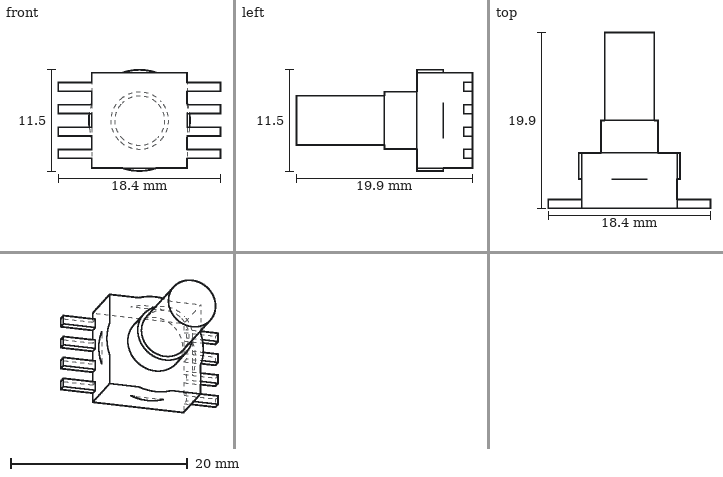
import cadquery as cq

total_length = 19.94
pin_span = 18.4
body_side = 10.8
body_depth = 6.3
flange_diameter = 11.49
flange_depth = 3.0
collar_diameter = 6.5
shaft_diameter = 5.62
shaft_length = 9.97
pin_side = 1.02
pin_pitch = 2.53
pins_per_side = 4

collar_length = total_length - body_depth - shaft_length


def cylinder_along_y(diameter, start, length):
    """Cylinder on the central axis, running towards +Y from start."""
    base = cq.Workplane("XZ", origin=(0, start, 0))
    return base.circle(diameter / 2).extrude(-length)


def pin_bar(height):
    """Bar through the housing that forms one pin on each side."""
    bar = cq.Workplane("XY").box(pin_span, pin_side, pin_side, centered=(True, False, True))
    return bar.translate((0, 0, height))


result = cq.Workplane("XY").box(body_side, body_depth, body_side, centered=(True, False, True))

result = result.union(cylinder_along_y(flange_diameter, body_depth - flange_depth, flange_depth))
result = result.union(cylinder_along_y(collar_diameter, body_depth, collar_length))
result = result.union(cylinder_along_y(shaft_diameter, body_depth + collar_length, shaft_length))

for index in range(pins_per_side):
    result = result.union(pin_bar((index - (pins_per_side - 1) / 2) * pin_pitch))